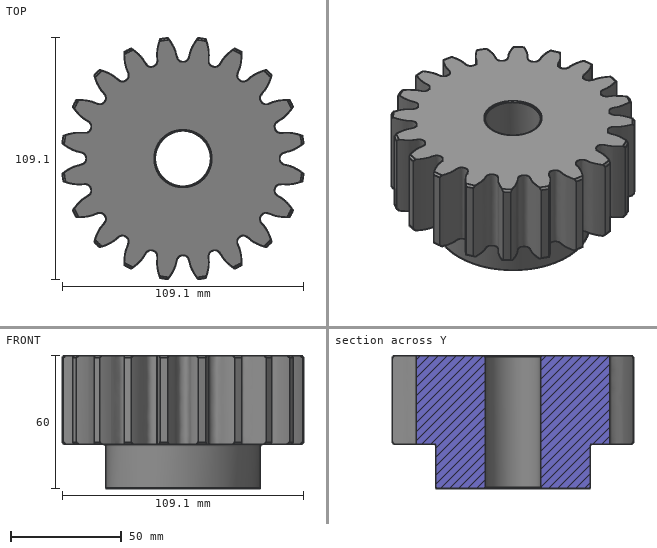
import cadquery as cq
import math

overall_width = 109.1
overall_height = 60.0
tooth_count = 20
pressure_angle = math.radians(20)
addendum_factor = 1.0
dedendum_factor = 1.25
root_fillet_factor = 0.38
lower_flank_steps = 3
root_curve_steps = 6
hub_height = 20.0
hub_diameter = 70.0
bore_diameter = 25.0
tip_chamfer = 1.0
hub_root_fillet = 1.0
hub_chamfer = 0.3
bore_chamfer = 0.5

face_width = overall_height - hub_height
pitch_step = 2 * math.pi / tooth_count


def involute(angle):
    return math.tan(angle) - angle


def half_tooth_angle(radius_ratio):
    """Half the angle a tooth spans at a radius given as a multiple of the base radius."""
    local_pressure_angle = math.acos(1 / radius_ratio)
    return pitch_step / 4 + involute(pressure_angle) - involute(local_pressure_angle)


pitch_to_base = 1 / math.cos(pressure_angle)
tip_to_base = pitch_to_base * (1 + 2 * addendum_factor / tooth_count)
tip_corner_angle = pitch_step / 2 - half_tooth_angle(tip_to_base)
tip_radius = overall_width / 2 / math.cos(tip_corner_angle)
module = 2 * tip_radius / (tooth_count + 2 * addendum_factor)
pitch_radius = module * tooth_count / 2
base_radius = pitch_radius * math.cos(pressure_angle)
root_fillet = root_fillet_factor * module


def polar(radius, angle):
    return (radius * math.cos(angle), radius * math.sin(angle))


def flank_point(radius, gap_angle, side):
    """Point on the flank that bounds a tooth gap on the given side (-1 or 1)."""
    half_gap_angle = pitch_step / 2 - half_tooth_angle(radius / base_radius)
    return polar(radius, gap_angle + side * half_gap_angle)


def root_curve_point(normal_angle, gap_angle, side):
    """Point on the root curve that the rounded corner of a rack tooth cuts as it rolls on the gear.

    The normal angle is measured from the gap centre line: 0 at the root circle,
    90 degrees minus the pressure angle where the curve meets the involute.
    """
    corner_depth = dedendum_factor * module - root_fillet
    corner_start = (
        math.pi * module / 4
        - dedendum_factor * module * math.tan(pressure_angle)
        - root_fillet * (1 - math.sin(pressure_angle)) / math.cos(pressure_angle)
    )
    corner_offset = corner_depth * math.tan(normal_angle)
    across = corner_offset + root_fillet * math.sin(normal_angle)
    outward = pitch_radius - corner_depth - root_fillet * math.cos(normal_angle)
    rolled_angle = (corner_offset - corner_start) / pitch_radius
    half_gap_angle = math.atan2(across, outward) - rolled_angle
    return polar(math.hypot(across, outward), gap_angle + side * half_gap_angle)


def lower_flank(gap_angle, side):
    """Points on one side of a gap, from the pitch circle down to the root circle."""
    involute_step = (pitch_radius - base_radius) / lower_flank_steps
    involute_points = [
        flank_point(pitch_radius - step * involute_step, gap_angle, side)
        for step in range(lower_flank_steps)
    ]
    steepest_normal = math.pi / 2 - pressure_angle
    root_points = [
        root_curve_point(steepest_normal * (1 - step / root_curve_steps), gap_angle, side)
        for step in range(root_curve_steps + 1)
    ]
    return involute_points + root_points


def tooth_outline():
    """Gear outline: one gap and the following tooth tip for each tooth."""
    upper_mid_radius = (tip_radius + pitch_radius) / 2
    outline = cq.Workplane("XY").workplane(offset=hub_height)
    outline = outline.moveTo(*flank_point(tip_radius, 0, -1))
    for index in range(tooth_count):
        gap = index * pitch_step
        gap_curve = lower_flank(gap, -1) + lower_flank(gap, 1)[::-1]
        outline = (
            outline
            .threePointArc(flank_point(upper_mid_radius, gap, -1), gap_curve[0])
            .spline(gap_curve[1:], includeCurrent=True)
            .threePointArc(flank_point(upper_mid_radius, gap, 1), flank_point(tip_radius, gap, 1))
            .threePointArc(
                polar(tip_radius, gap + pitch_step / 2),
                flank_point(tip_radius, gap + pitch_step, -1),
            )
        )
    return outline.close()


def gear_rim():
    """Toothed rim with its tips chamfered by a turned blank."""
    blank = (
        cq.Workplane("XY").workplane(offset=hub_height)
        .circle(tip_radius).extrude(face_width)
        .edges().chamfer(tip_chamfer)
    )
    return tooth_outline().extrude(face_width).intersect(blank)


def hub():
    """Plain hub with a chamfered lower edge, flared by a fillet where it meets the rim."""
    hub_radius = hub_diameter / 2
    flare_offset = hub_root_fillet * (1 - math.sqrt(0.5))
    return (
        cq.Workplane("XZ")
        .lineTo(hub_radius - hub_chamfer, 0)
        .lineTo(hub_radius, hub_chamfer)
        .lineTo(hub_radius, hub_height - hub_root_fillet)
        .threePointArc(
            (hub_radius + flare_offset, hub_height - flare_offset),
            (hub_radius + hub_root_fillet, hub_height),
        )
        .lineTo(0, hub_height)
        .close()
        .revolve(360, (0, 0, 0), (0, 1, 0))
    )


def bore():
    """Through bore with a chamfer at both ends."""
    bore_radius = bore_diameter / 2
    mouth_radius = bore_radius + bore_chamfer
    return (
        cq.Workplane("XZ")
        .lineTo(mouth_radius, 0)
        .lineTo(bore_radius, bore_chamfer)
        .lineTo(bore_radius, overall_height - bore_chamfer)
        .lineTo(mouth_radius, overall_height)
        .lineTo(0, overall_height)
        .close()
        .revolve(360, (0, 0, 0), (0, 1, 0))
    )


result = gear_rim().union(hub()).cut(bore())